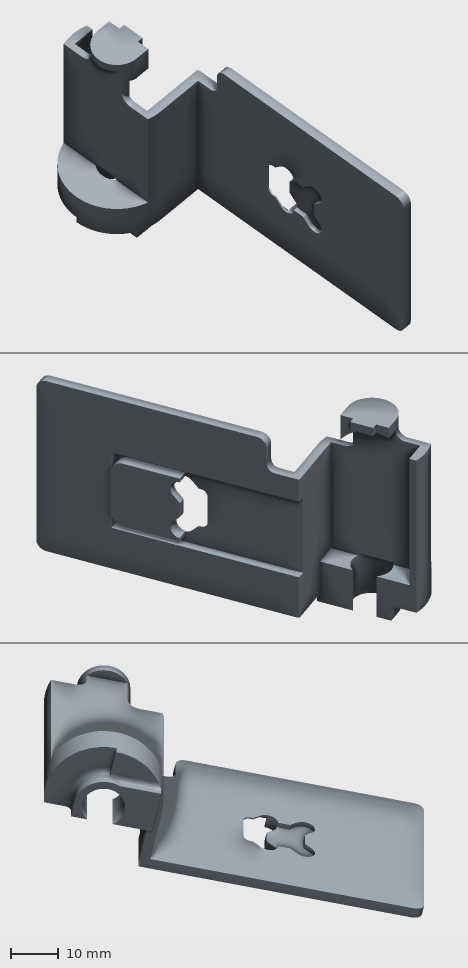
import cadquery as cq
import math


BARREL_R = 12.48
BACK_Y = 3.6
WEB_FRONT_Y = -3.4
WEB_BACK_Y = -1.8
WALL = 2.2
BASE_TOP = 10.2
BASE_BOTTOM_LEFT = 3.7
BASE_BOTTOM_RIGHT = 2.1
LEFT_TOP = 42.1
RIGHT_TOP = 37.0
BORE_R = 4.5
BORE_TOP = 10.85

TOTAL_HEIGHT = 48.5
CAP_R = 5.6
CAP_THICKNESS = 2.0
CAP_BOTTOM = TOTAL_HEIGHT - CAP_THICKNESS
TAB_WIDTH = 5.3
TAB_BACK_Y = 5.0
TONGUE_LEFT_FILLET = 2.4
TONGUE_RIGHT_FILLET = 2.7
CEILING_LEFT = 45.9
CEILING_MIDDLE = 44.9
CEILING_RIGHT = 42.25

PIVOT_R = 6.2
PIVOT_RIGHT = 11.0
PIVOT_FRONT_Y = -5.8
PIVOT_RIM = 0.75

PLATE_RIGHT = 83.5 - BARREL_R
PLATE_LEFT = 17.9
PLATE_TOP = 45.0
PLATE_FRONT_Y = 11.4
PLATE_BACK_Y = 13.7
PLATE_CORNER_R = 2.25
NOTCH_R = 1.9
BEND_R = 0.5

KEY_Z = 21.9
KEY_LEFT = 32.4
KEY_HALF_HEIGHT = 4.8
KEY_CORNER_R = 1.5
HOLE_RIGHT = 37.6
RECESS_RIGHT = 45.5
RECESS_FLOOR_Y = 12.5
LOBE_R = 2.2
LOBE_OFFSET = 4.85
PAD_RIGHT = 53.7
PAD_HEIGHT = 15.9
PAD_CORNER_R = 3.2
PAD_BACK_Y = 26.9 - BARREL_R
GROOVE_HEIGHT = 19.0
GROOVE_FLOOR_Y = 11.8


def box(x0, x1, y0, y1, z0, z1):
    return cq.Workplane("XY").box(x1 - x0, y1 - y0, z1 - z0, centered=False).translate((x0, y0, z0))


def barrel(z0, z1):
    disc = cq.Workplane("XY").circle(BARREL_R).extrude(z1 - z0).translate((0, 0, z0))
    return disc.intersect(box(-BARREL_R, BARREL_R, -BARREL_R, BACK_Y, z0, z1))


def front_profile(sketch, y0, y1):
    """Extrude an XZ outline from y0 back to y1."""
    return sketch.extrude(-(y1 - y0)).translate((0, y0, 0))


def make_base():
    base = barrel(BASE_BOTTOM_RIGHT, BASE_TOP)
    step = box(-BARREL_R, 0, -BARREL_R, BACK_Y, BASE_BOTTOM_RIGHT, BASE_BOTTOM_LEFT)
    return base.cut(step)


def make_channel():
    body = barrel(BASE_TOP, LEFT_TOP)
    body = body.cut(box(-BARREL_R, BARREL_R, -BARREL_R, WEB_FRONT_Y, BASE_TOP, LEFT_TOP))
    inside = BARREL_R - WALL
    body = body.cut(box(-inside, inside, WEB_BACK_Y, BACK_Y, BASE_TOP, LEFT_TOP))
    return body.cut(box(0, BARREL_R, -BARREL_R, BACK_Y, RIGHT_TOP, LEFT_TOP))


def cap_footprint(z0, z1):
    disc = cq.Workplane("XY").circle(CAP_R).extrude(z1 - z0).translate((0, 0, z0))
    front = disc.intersect(box(-CAP_R, CAP_R, -CAP_R, 0, z0, z1))
    return front.union(box(-CAP_R, CAP_R, 0, BACK_Y, z0, z1))


def tongue_blank(half_width):
    """Slice of the tongue with concave feet on the two channel tops."""
    left = -half_width
    right = half_width
    bend = 1 - math.sqrt(0.5)
    tongue = (
        cq.Workplane("XZ")
        .moveTo(left - TONGUE_LEFT_FILLET, LEFT_TOP)
        .threePointArc(
            (left - TONGUE_LEFT_FILLET * bend, LEFT_TOP + TONGUE_LEFT_FILLET * bend),
            (left, LEFT_TOP + TONGUE_LEFT_FILLET),
        )
        .lineTo(left, CAP_BOTTOM)
        .lineTo(right, CAP_BOTTOM)
        .lineTo(right, RIGHT_TOP + TONGUE_RIGHT_FILLET)
        .threePointArc(
            (right + TONGUE_RIGHT_FILLET * bend, RIGHT_TOP + TONGUE_RIGHT_FILLET * bend),
            (right + TONGUE_RIGHT_FILLET, RIGHT_TOP),
        )
        .lineTo(left - TONGUE_LEFT_FILLET, RIGHT_TOP)
        .close()
    )
    return front_profile(tongue, WEB_FRONT_Y, WEB_BACK_Y)


def make_tongue():
    """The tongue sides follow the cap cylinder above the concave feet."""
    front_half_width = math.sqrt(CAP_R**2 - WEB_FRONT_Y**2)
    tongue = tongue_blank(front_half_width)
    for x0, x1, foot_top in (
        (-CAP_R, 0, LEFT_TOP + TONGUE_LEFT_FILLET),
        (0, CAP_R, RIGHT_TOP),
    ):
        half = cap_footprint(foot_top, CAP_BOTTOM)
        tongue = tongue.union(half.intersect(box(x0, x1, WEB_FRONT_Y, WEB_BACK_Y, foot_top, CAP_BOTTOM)))
    return tongue


def make_ceiling():
    """Sloping cavity ceiling below the cap, falling towards the right."""
    ceiling = (
        cq.Workplane("XZ")
        .moveTo(-CAP_R, CAP_BOTTOM)
        .lineTo(CAP_R, CAP_BOTTOM)
        .lineTo(CAP_R, CEILING_RIGHT)
        .threePointArc((CAP_R / 2, CEILING_MIDDLE), (-CAP_R, CEILING_LEFT))
        .close()
    )
    return front_profile(ceiling, WEB_BACK_Y, BACK_Y).intersect(cap_footprint(RIGHT_TOP, CAP_BOTTOM))


def make_cap():
    cap = cap_footprint(CAP_BOTTOM, TOTAL_HEIGHT)
    return cap.union(box(-TAB_WIDTH / 2, TAB_WIDTH / 2, 0, TAB_BACK_Y, CAP_BOTTOM, TOTAL_HEIGHT))


def flared_outline(plane, inner, edge, flare_top):
    """Outline from inner to edge whose outer side flares outward towards flare_top."""
    direction = math.copysign(1, edge)
    radius = BASE_BOTTOM_RIGHT - PIVOT_RIM
    bend = 1 - math.sqrt(0.5)
    flare_start = flare_top - radius
    return (
        cq.Workplane(plane)
        .moveTo(inner, 0)
        .lineTo(edge, 0)
        .lineTo(edge, flare_start)
        .threePointArc(
            (edge + direction * radius * bend, flare_top - radius * bend),
            (edge + direction * radius, flare_top),
        )
        .lineTo(inner, flare_top)
        .close()
    )


def make_pivot():
    disc = flared_outline("XZ", 0, PIVOT_R, BASE_BOTTOM_LEFT).revolve(360, (0, 0, 0), (0, 1, 0))
    flank = front_profile(flared_outline("XZ", 0, -PIVOT_R, BASE_BOTTOM_LEFT), 0, BACK_Y)
    left = disc.intersect(box(-BARREL_R, PIVOT_R, -BARREL_R, 0, 0, BASE_BOTTOM_LEFT)).union(flank)
    along_x = flared_outline("YZ", BACK_Y, PIVOT_FRONT_Y, BASE_BOTTOM_RIGHT).extrude(BARREL_R)
    along_y = front_profile(flared_outline("XZ", 0, PIVOT_RIGHT, BASE_BOTTOM_RIGHT), -BARREL_R, BACK_Y)
    right = along_x.intersect(along_y)
    return left.union(right).intersect(barrel(0, BASE_BOTTOM_LEFT))


def make_plate():
    inner = BARREL_R - WALL
    lower = box(inner, PLATE_RIGHT, PLATE_FRONT_Y, PLATE_BACK_Y, BASE_BOTTOM_RIGHT, RIGHT_TOP)
    upper = box(PLATE_LEFT, PLATE_RIGHT, PLATE_FRONT_Y, PLATE_BACK_Y, RIGHT_TOP, PLATE_TOP)
    plate = lower.union(upper).clean()
    plate = plate.edges("|Y and >X").fillet(PLATE_CORNER_R)
    mid_y = (PLATE_FRONT_Y + PLATE_BACK_Y) / 2
    plate = plate.edges("|Y").edges(
        cq.selectors.NearestToPointSelector((PLATE_LEFT, mid_y, PLATE_TOP))
    ).fillet(PLATE_CORNER_R)
    plate = plate.edges("|Y").edges(
        cq.selectors.NearestToPointSelector((PLATE_LEFT, mid_y, RIGHT_TOP))
    ).fillet(NOTCH_R)
    side = box(inner, BARREL_R, WEB_FRONT_Y, PLATE_BACK_Y, BASE_BOTTOM_RIGHT, RIGHT_TOP)
    side = side.cut(box(inner, BARREL_R, WEB_FRONT_Y, 0, BASE_BOTTOM_RIGHT, RIGHT_TOP))
    plate = plate.union(side)
    return plate.edges("|Z").edges("<X").edges(">Y").fillet(BEND_R)


def key_cutter(right, y1):
    """Key outline with two lobes at its right end, cut from the plate front back to y1."""
    body = box(KEY_LEFT, right, PLATE_FRONT_Y, y1, KEY_Z - KEY_HALF_HEIGHT, KEY_Z + KEY_HALF_HEIGHT)
    cutter = body.edges("|Y and <X").fillet(KEY_CORNER_R)
    tangent = LOBE_R * math.sqrt(0.5)
    for side in (-1, 1):
        lobe_z = KEY_Z + side * LOBE_OFFSET
        lobe = cq.Workplane("XZ").center(right, lobe_z).circle(LOBE_R)
        cutter = cutter.union(front_profile(lobe, PLATE_FRONT_Y, y1))
        flank = (
            cq.Workplane("XZ")
            .moveTo(right - 2 * tangent, lobe_z)
            .lineTo(right - tangent, lobe_z + side * tangent)
            .lineTo(right + tangent, lobe_z - side * tangent)
            .lineTo(right, lobe_z - side * 2 * tangent)
            .close()
        )
        cutter = cutter.union(front_profile(flank, PLATE_FRONT_Y, y1))
    return cutter


def add_key(plate):
    groove = box(
        BARREL_R - WALL, PAD_RIGHT, GROOVE_FLOOR_Y, PLATE_BACK_Y,
        KEY_Z - GROOVE_HEIGHT / 2, KEY_Z + GROOVE_HEIGHT / 2,
    )
    pad = box(
        HOLE_RIGHT, PAD_RIGHT, GROOVE_FLOOR_Y, PAD_BACK_Y,
        KEY_Z - PAD_HEIGHT / 2, KEY_Z + PAD_HEIGHT / 2,
    ).edges("|Y and >X").fillet(PAD_CORNER_R)
    plate = plate.cut(groove).union(pad)
    return plate.cut(key_cutter(RECESS_RIGHT, RECESS_FLOOR_Y)).cut(key_cutter(HOLE_RIGHT, PAD_BACK_Y))


result = add_key(make_plate())
for feature in (make_base(), make_channel(), make_tongue(), make_ceiling(), make_cap(), make_pivot()):
    result = result.union(feature)

result = result.cut(cq.Workplane("XY").circle(BORE_R).extrude(BORE_TOP))